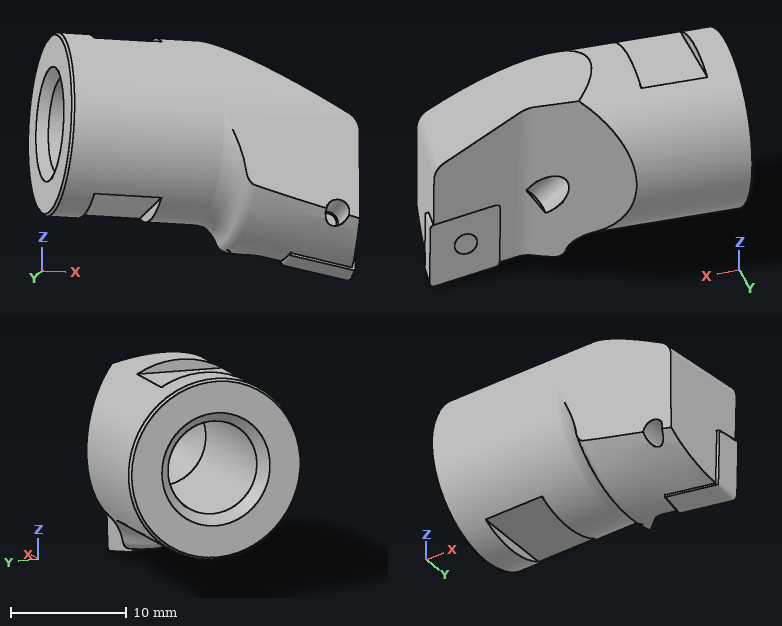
import cadquery as cq
import math

total_length = 27.0
total_height = 20.38
cutter_reach = 40.5

shank_diameter = 16.0
shank_radius = shank_diameter / 2
rear_chamfer = 0.22
flat_start = 3.0
flat_length = 6.0
flat_height = 6.97

bore_radius = 4.1
bore_mouth_radius = 5.0
bore_mouth_depth = bore_mouth_radius - bore_radius
bore_tip_x = 16.06
drill_half_angle = math.radians(118 / 2)

flare_start = 13.6
neck_radius = 2.0
shoulder_radius = 1.0
cone_angle = math.radians(10)
cone_start_radius = 10.23

tip_z = shank_radius - total_height
rake_tilt = math.radians(1.7)
relief = 7.0
tilt_cos = math.cos(rake_tilt)
tilt_sin = math.sin(rake_tilt)
seat_up = cq.Vector(0, tilt_sin, tilt_cos)
seat_depth = cq.Vector(0, -tilt_cos, tilt_sin)
tip_point = cq.Vector(total_length, 0, tip_z)
rake_plane = cq.Plane(origin=tip_point, xDir=(1, 0, 0), normal=seat_depth)
flute_plane = cq.Plane(origin=tip_point, xDir=(1, 0, 0), normal=seat_up)

flute_run_out = 8.67
flute_radius = 1.75
end_setback = 0.3
end_corner_height = 12.18
slope_angle = math.radians(30)
end_radius = 1.84

insert_side = 6.45
insert_thickness = 2.38
insert_corner_radius = 0.4
insert_angle = math.pi / 2 - cone_angle
insert_run = insert_side * math.sin(insert_angle)
insert_rise = insert_side * math.cos(insert_angle)
insert_corner_z = -insert_corner_radius * (1 / math.tan(insert_angle / 2) - 1)
insert_center = (-insert_run / 2, insert_corner_z + (insert_side + insert_rise) / 2)

screw_radius = 1.03
screw_shift_x = -0.08
screw_shift_up = 0.2
screw_center = (insert_center[0] + screw_shift_x, insert_center[1] + screw_shift_up)
screw_length = 4.32
screw_tip_chamfer = 0.22

coolant_radius = 1.4
coolant_start = cq.Vector(14.58, 1.97, -1.85)
coolant_lead = 1.62
coolant_length = 5.95


def make_shank():
    shank = cq.Workplane("YZ").circle(shank_radius).extrude(total_length)
    shank = shank.faces("<X").chamfer(rear_chamfer)
    flat_middle = flat_start + flat_length / 2
    for side in (1, -1):
        slab = cq.Workplane("XY").box(flat_length, 2 * shank_radius, shank_radius)
        slab_z = side * (flat_height + shank_radius / 2)
        shank = shank.cut(slab.translate((flat_middle, 0, slab_z)))
    return shank


def make_flare():
    """Lower half of the flared head, flush with the -Y side of the shank."""
    neck_center_r = shank_radius + neck_radius
    shoulder_center_r = cone_start_radius - shoulder_radius * math.cos(cone_angle)
    center_distance = neck_radius + shoulder_radius
    drop = neck_center_r - shoulder_center_r
    shoulder_center_x = flare_start + math.sqrt(center_distance**2 - drop**2)
    cone_start_x = shoulder_center_x - shoulder_radius * math.sin(cone_angle)
    cone_end_r = cone_start_radius + (total_length - cone_start_x) * math.tan(cone_angle)

    join_angle = math.asin(drop / center_distance)
    join_x = flare_start + neck_radius * math.cos(join_angle)
    join_r = neck_center_r - neck_radius * math.sin(join_angle)
    neck_mid_angle = (math.pi / 2 + join_angle) / 2
    neck_mid = (
        flare_start + neck_radius * math.cos(neck_mid_angle),
        neck_center_r - neck_radius * math.sin(neck_mid_angle),
    )
    shoulder_mid_angle = (math.pi - join_angle + math.pi / 2 + cone_angle) / 2
    shoulder_mid = (
        shoulder_center_x + shoulder_radius * math.cos(shoulder_mid_angle),
        shoulder_center_r + shoulder_radius * math.sin(shoulder_mid_angle),
    )
    flare = (
        cq.Workplane("XY")
        .moveTo(flare_start, 0)
        .lineTo(flare_start, shank_radius)
        .threePointArc(neck_mid, (join_x, join_r))
        .threePointArc(shoulder_mid, (cone_start_x, cone_start_radius))
        .lineTo(total_length, cone_end_r)
        .lineTo(total_length, 0)
        .close()
        .revolve(180, (0, 0, 0), (-1, 0, 0))
    )
    keep = cq.Workplane("XY").box(cutter_reach, cutter_reach, cutter_reach)
    return flare.intersect(keep.translate((total_length / 2, cutter_reach / 2 - shank_radius, 0)))


def make_bore():
    cone_length = bore_radius / math.tan(drill_half_angle)
    return (
        cq.Workplane("XY")
        .polyline([
            (0, 0),
            (0, bore_mouth_radius),
            (bore_mouth_depth, bore_radius),
            (bore_tip_x - cone_length, bore_radius),
            (bore_tip_x, 0),
        ])
        .close()
        .revolve(360, (0, 0, 0), (1, 0, 0))
    )


def make_flute():
    """Chip flute: the rake face, a 45 degree wall and the fillet between them."""
    flute = (
        cq.Workplane(flute_plane)
        .polyline([
            (-flute_run_out, 0),
            (cutter_reach, 0),
            (cutter_reach, cutter_reach),
            (-flute_run_out - cutter_reach, cutter_reach),
        ])
        .close()
        .extrude(cutter_reach, both=True)
    )
    corner = flute_plane.toWorldCoords((-flute_run_out, 0, 0))
    return flute.edges(cq.NearestToPointSelector(corner.toTuple())).fillet(flute_radius)


def make_end_trim():
    """Everything beyond the sloped top and the end face, both raked back by the relief angle."""
    tangent = end_radius * math.tan((math.pi / 2 - slope_angle) / 2)
    slope_dx = math.cos(slope_angle)
    slope_dy = math.sin(slope_angle)
    arc_center = (-end_setback - end_radius, end_corner_height - tangent)
    arc_mid = (
        arc_center[0] + end_radius * math.cos(slope_angle),
        arc_center[1] + end_radius * math.sin(slope_angle),
    )
    arc_start = (-end_setback - tangent * slope_dx, end_corner_height + tangent * slope_dy)
    slope_far = (-end_setback - cutter_reach * slope_dx, end_corner_height + cutter_reach * slope_dy)
    outline = (
        cq.Workplane(rake_plane)
        .moveTo(*slope_far)
        .lineTo(*arc_start)
        .threePointArc(arc_mid, (-end_setback, arc_center[1]))
        .lineTo(-end_setback, -cutter_reach)
        .lineTo(cutter_reach, -cutter_reach)
        .lineTo(cutter_reach, slope_far[1])
        .close()
        .wire()
        .val()
    )
    rake_back = cq.Vector(-math.tan(math.radians(relief)), 0, 0)
    direction = (seat_depth + rake_back) * (cutter_reach / 2)
    start = outline.translate(direction * -1)
    return cq.Workplane(cq.Solid.extrudeLinear(start, [], direction * 2))


def make_insert_blank():
    """Rhombic insert without its hole, narrowing away from the rake face."""
    sketch = (
        cq.Sketch()
        .polygon([
            (0, insert_corner_z),
            (0, insert_corner_z + insert_side),
            (-insert_run, insert_corner_z + insert_side + insert_rise),
            (-insert_run, insert_corner_z + insert_rise),
            (0, insert_corner_z),
        ])
        .vertices()
        .fillet(insert_corner_radius)
    )
    return cq.Workplane(rake_plane).placeSketch(sketch).extrude(insert_thickness, taper=relief)


def make_screw_hole():
    return cq.Workplane(rake_plane).center(*screw_center).circle(screw_radius).extrude(cutter_reach)


def make_coolant_hole():
    aim = (tip_point - coolant_start).normalized()
    return cq.Workplane(
        cq.Solid.makeCylinder(coolant_radius, coolant_length, coolant_start - aim * coolant_lead, aim)
    )


def make_holder():
    holder = make_shank().union(make_flare())
    for cutter in (
        make_bore(),
        make_flute(),
        make_end_trim(),
        make_insert_blank(),
        make_screw_hole(),
        make_coolant_hole(),
    ):
        holder = holder.cut(cutter)
    return holder


def make_insert():
    return make_insert_blank().cut(make_screw_hole())


def make_screw():
    screw = cq.Workplane(rake_plane).center(*screw_center).circle(screw_radius).extrude(screw_length)
    return screw.faces("<Y").chamfer(screw_tip_chamfer)


holder = make_holder()
insert = make_insert()
screw = make_screw()

result = cq.Compound.makeCompound([holder.val(), insert.val(), screw.val()])